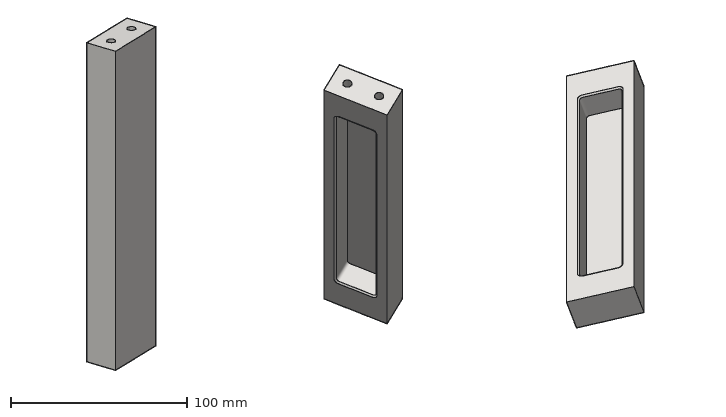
import cadquery as cq

thickness = 20.0
width = 40.0
height = 200.0

rim_chamfer = 1.0
pocket_width = 25.0
pocket_height = 158.0
pocket_depth = 15.0
pocket_corner_radius = 2.0

hole_diameter = 5.04
hole_spacing = 20.0
hole_depth = 10.0


def make_block():
    return cq.Workplane("XY").box(thickness, width, height)


def cut_pocket(body):
    """Sink a round-cornered pocket into the -X face and chamfer its rim."""
    pocket = (
        cq.Workplane("YZ", origin=(-thickness / 2, 0, 0))
        .rect(pocket_width, pocket_height)
        .extrude(pocket_depth)
        .edges("|X")
        .fillet(pocket_corner_radius)
    )
    pocketed = body.cut(pocket)
    rim = pocketed.faces("<X").val().innerWires()[0]
    return pocketed.newObject(rim.Edges()).chamfer(rim_chamfer)


def drill_top_holes(body):
    """Drill a pair of blind holes down from the top face, along its width."""
    return (
        body.faces(">Z")
        .workplane(origin=(0, 0, height / 2))
        .pushPoints([(0, -hole_spacing / 2), (0, hole_spacing / 2)])
        .hole(hole_diameter, hole_depth)
    )


result = drill_top_holes(cut_pocket(make_block()))